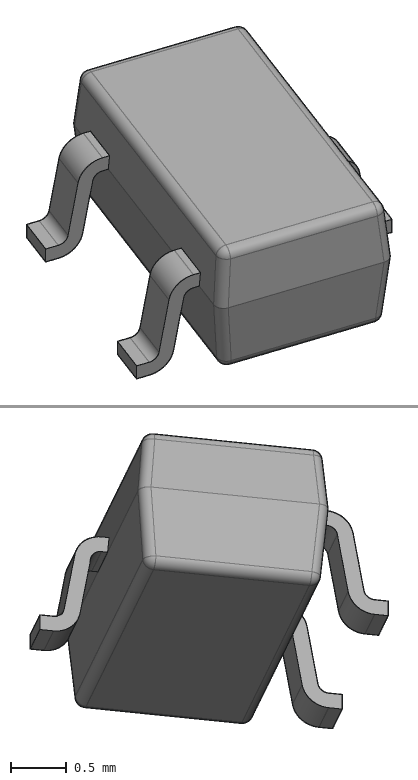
import cadquery as cq
import math

housing_length = 3.1
housing_width = 1.75
housing_bottom = 0.1
housing_top = 1.45
parting_height = 0.85
draft_angle = 5.0
housing_edge_radius = 0.1

lead_span = 3.0
lead_width = 0.4
lead_thickness = 0.15
lead_spacing = 1.9
inner_bend_radius = 0.1
outer_bend_radius = inner_bend_radius + lead_thickness
upper_bend_start = 0.933
leg_angle = 10.0


def make_housing_half(height):
    """Drafted half standing on the XY plane, rounded on all edges but the base outline."""
    return (
        cq.Workplane("XY")
        .rect(housing_length, housing_width)
        .extrude(height, taper=draft_angle)
        .edges("not <Z")
        .fillet(housing_edge_radius)
    )


def make_housing():
    upper_half = make_housing_half(housing_top - parting_height)
    lower_half = make_housing_half(parting_height - housing_bottom).mirror("XY")
    housing_body = upper_half.union(lower_half).solids()
    return housing_body.translate((0, 0, parting_height))


def bend_point(center, radius, angle):
    """Point on a bend, at an angle in degrees from the outward direction."""
    return (
        center[0] + radius * math.cos(math.radians(angle)),
        center[1] + radius * math.sin(math.radians(angle)),
    )


def make_lead(side, x_position):
    """Bent lead butted against the drafted housing wall; side is +1 for +Y, -1 for -Y."""
    lead_top = parting_height + lead_thickness
    wall = housing_width / 2
    wall_at_lead_top = wall - lead_thickness * math.tan(math.radians(draft_angle))
    lead_end = lead_span / 2

    rise = lead_top - 2 * outer_bend_radius
    radius_sum = inner_bend_radius + outer_bend_radius
    leg = math.radians(leg_angle)
    bend_run = radius_sum * math.cos(leg) + (rise + radius_sum * math.sin(leg)) * math.tan(leg)
    upper_center = (upper_bend_start, lead_top - outer_bend_radius)
    lower_center = (upper_bend_start + bend_run, outer_bend_radius)

    upper_middle = (90 + leg_angle) / 2
    lower_start = 180 + leg_angle
    lower_middle = (lower_start + 270) / 2
    profile = (
        cq.Workplane("YZ")
        .moveTo(wall, parting_height)
        .lineTo(wall_at_lead_top, lead_top)
        .lineTo(upper_bend_start, lead_top)
        .threePointArc(
            bend_point(upper_center, outer_bend_radius, upper_middle),
            bend_point(upper_center, outer_bend_radius, leg_angle),
        )
        .lineTo(*bend_point(lower_center, inner_bend_radius, lower_start))
        .threePointArc(
            bend_point(lower_center, inner_bend_radius, lower_middle),
            bend_point(lower_center, inner_bend_radius, 270),
        )
        .lineTo(lead_end, lead_thickness)
        .lineTo(lead_end, 0)
        .lineTo(lower_center[0], 0)
        .threePointArc(
            bend_point(lower_center, outer_bend_radius, lower_middle),
            bend_point(lower_center, outer_bend_radius, lower_start),
        )
        .lineTo(*bend_point(upper_center, inner_bend_radius, leg_angle))
        .threePointArc(
            bend_point(upper_center, inner_bend_radius, upper_middle),
            bend_point(upper_center, inner_bend_radius, 90),
        )
        .close()
    )
    lead = profile.extrude(lead_width / 2, both=True)
    if side < 0:
        lead = lead.mirror("XZ")
    return lead.solids().translate((x_position, 0, 0))


lead_places = [
    (-1, -lead_spacing / 2),
    (-1, lead_spacing / 2),
    (1, 0),
]

housing = make_housing()
leads = [make_lead(side, x_position) for side, x_position in lead_places]

result = cq.Compound.makeCompound([housing.val(), *[lead.val() for lead in leads]])